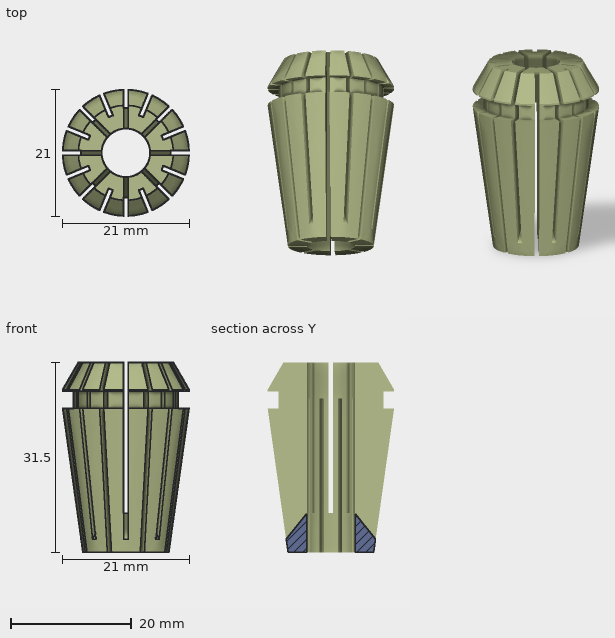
import cadquery as cq
import math

length = 31.5
max_radius = 10.5
bore_radius = 4.0

nose_height = 4.55
rim_height = 0.28
nose_angle = 30.0

groove_height = 2.8
groove_radius = 8.7
taper_angle = 8.0

slot_width = 0.75
slots_per_set = 8
top_slot_outer_z = 2.2
top_slot_bore_z = 6.5
bottom_slot_bore_z = 25.5
bottom_slot_exit_radius = 6.58

pitch_angle = 360.0 / slots_per_set
cutter_radius = 1.2 * max_radius

groove_top = length - nose_height - rim_height
groove_bottom = groove_top - groove_height
nose_radius = max_radius - nose_height * math.tan(math.radians(nose_angle))
taper_slope = math.tan(math.radians(taper_angle))
bottom_radius = max_radius - groove_bottom * taper_slope


def revolve_profile(points):
    """Turn a closed outline of (radius, z) points around the Z axis."""
    return cq.Workplane("XZ").polyline(points).close().revolve(360, (0, 0, 0), (0, 1, 0))


def collet_blank():
    return revolve_profile([
        (bore_radius, 0),
        (bottom_radius, 0),
        (max_radius, groove_bottom),
        (groove_radius, groove_bottom),
        (groove_radius, groove_top),
        (max_radius, groove_top),
        (max_radius, groove_top + rim_height),
        (nose_radius, length),
        (bore_radius, length),
    ])


def radial_slot(envelope, angle):
    """Slot on one side of the axis, as deep as the turned envelope allows."""
    slab = cq.Workplane("XY").box(cutter_radius, slot_width, length, centered=(False, True, False))
    return envelope.intersect(slab.rotate((0, 0, 0), (0, 0, 1), angle))


outer_radius_at_floor = bottom_radius + top_slot_outer_z * taper_slope
top_slot_envelope = revolve_profile([
    (0, top_slot_bore_z),
    (bore_radius, top_slot_bore_z),
    (outer_radius_at_floor, top_slot_outer_z),
    (cutter_radius, top_slot_outer_z),
    (cutter_radius, length),
    (0, length),
])

bottom_slot_envelope = revolve_profile([
    (0, 0),
    (cutter_radius, 0),
    (cutter_radius, length),
    (bottom_slot_exit_radius, length),
    (bore_radius, bottom_slot_bore_z),
    (0, bottom_slot_bore_z),
])

result = collet_blank()
for index in range(slots_per_set):
    top_angle = index * pitch_angle
    result = result.cut(radial_slot(top_slot_envelope, top_angle))
    result = result.cut(radial_slot(bottom_slot_envelope, top_angle + pitch_angle / 2))